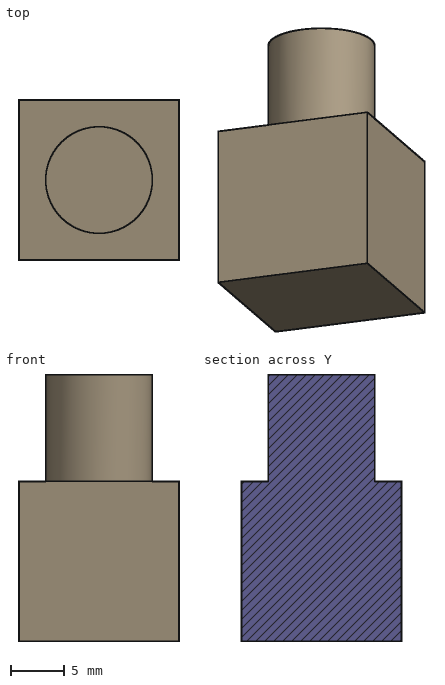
import cadquery as cq

total_height = 25.0
cube_side = 15.0
pin_diameter = 10.0
pin_height = total_height - cube_side

base = cq.Workplane("XY").box(cube_side, cube_side, cube_side, centered=(True, True, False))

result = base.faces(">Z").workplane().circle(pin_diameter / 2).extrude(pin_height)